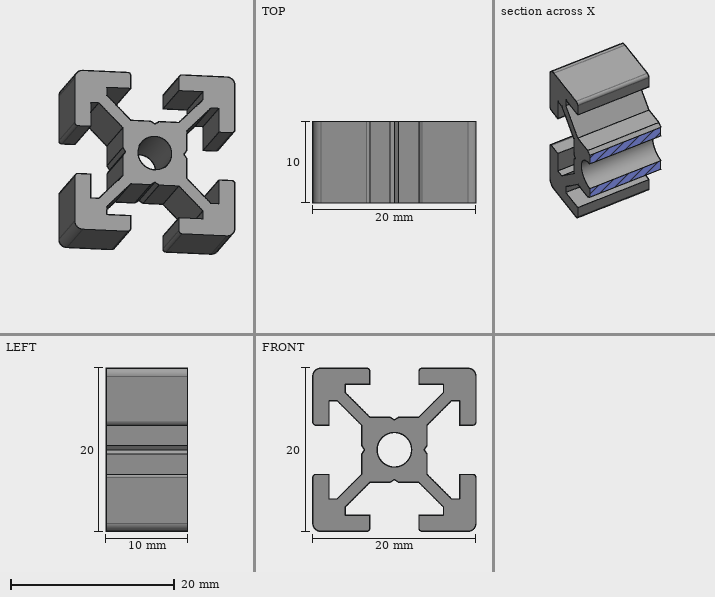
import cadquery as cq

side = 20
length = 10
bore_diameter = 4.2
lip_thickness = 2
slot_mouth_width = 6
slot_inner_width = 12
slot_inner_wall = 1
core_width = 8
groove_width = 1.05
groove_depth = 0.35
corner_radius = 1
lip_radius = 0.4

half_side = side / 2
half_mouth = slot_mouth_width / 2
half_inner = slot_inner_width / 2
half_groove = groove_width / 2
lip_back = half_side - lip_thickness
wall_end = lip_back - slot_inner_wall
slot_floor = core_width / 2
half_floor = half_inner - (wall_end - slot_floor)


def bar():
    """Square bar with rounded long corners, centred on the origin."""
    block = cq.Workplane("XY").box(side, length, side)
    return block.edges("|Y").fillet(corner_radius)


def slot_cutter():
    """T-slot with a V-grooved floor, opening toward +Z along the full length."""
    right_half = [
        (half_groove, slot_floor),
        (half_floor, slot_floor),
        (half_inner, wall_end),
        (half_inner, lip_back),
        (half_mouth, lip_back),
        (half_mouth, half_side),
    ]
    left_half = [(-x, z) for x, z in reversed(right_half)]
    groove_tip = (0, slot_floor - groove_depth)
    outline = [groove_tip] + right_half + left_half
    return cq.Workplane("XZ").polyline(outline).close().extrude(length / 2, both=True)


def lip_edges(body):
    """Outer long edges on both sides of every slot mouth."""
    edges = body.edges("|Y")
    mouth_corners = {(half_mouth, half_side), (half_side, half_mouth)}
    return edges.filter(
        lambda edge: (round(abs(edge.Center().x), 3), round(abs(edge.Center().z), 3)) in mouth_corners
    )


profile = bar()
slot = slot_cutter()
for angle in (0, 90, 180, 270):
    profile = profile.cut(slot.rotate((0, 0, 0), (0, 1, 0), angle))

profile = lip_edges(profile).fillet(lip_radius)

bore = cq.Workplane("XZ").circle(bore_diameter / 2).extrude(length / 2, both=True)
result = profile.cut(bore)